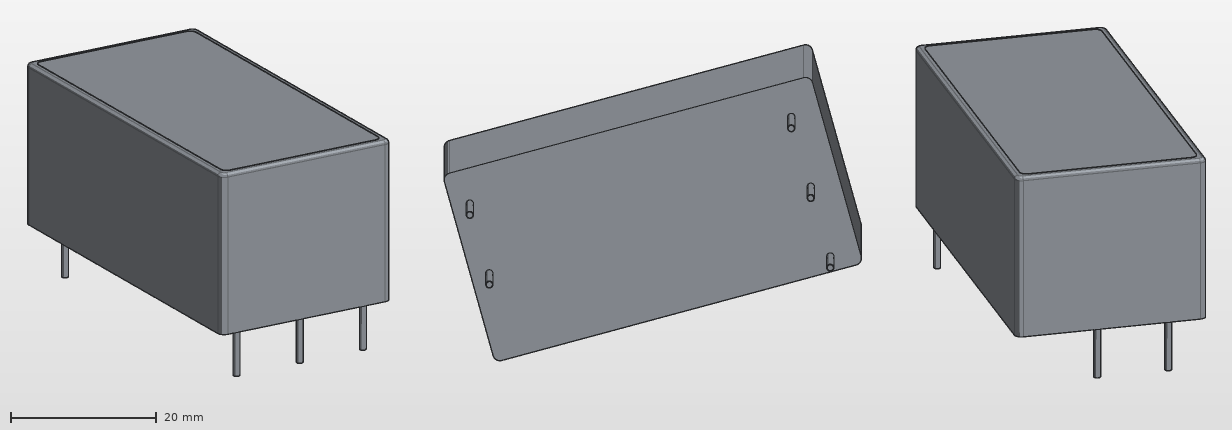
import cadquery as cq

LENGTH = 52.4
WIDTH = 27.2
TOTAL_HEIGHT = 31.6
PIN_LENGTH = 8.0
PANEL_RISE = 0.08
HOUSING_HEIGHT = TOTAL_HEIGHT - PIN_LENGTH - PANEL_RISE
CORNER_RADIUS = 1.0
TOP_EDGE_RADIUS = 0.5

PANEL_INSET = 1.0
PANEL_THICKNESS = 1.0
PANEL_CORNER_RADIUS = 1.0
PANEL_LENGTH = LENGTH - 2 * PANEL_INSET
PANEL_WIDTH = WIDTH - 2 * PANEL_INSET

PIN_DIAMETER = 1.0
PIN_TIP_CHAMFER = 0.08
PIN_PITCH = 10.1
FRONT_PIN_Y = -8.75
LEFT_PIN_X = -23.65
RIGHT_PIN_X = 22.1
PIN_ROWS = [(LEFT_PIN_X, 2), (RIGHT_PIN_X, 3)]


def make_panel():
    """Rounded rectangular plate whose upper face rises PANEL_RISE above the housing top."""
    return (
        cq.Workplane("XY", origin=(0, 0, HOUSING_HEIGHT + PANEL_RISE - PANEL_THICKNESS))
        .rect(PANEL_LENGTH, PANEL_WIDTH)
        .extrude(PANEL_THICKNESS)
        .edges("|Z")
        .fillet(PANEL_CORNER_RADIUS)
    )


def make_housing(panel):
    """Block with rounded corners and top edge, recessed to receive the panel."""
    block = (
        cq.Workplane("XY")
        .rect(LENGTH, WIDTH)
        .extrude(HOUSING_HEIGHT)
        .edges("|Z")
        .fillet(CORNER_RADIUS)
        .faces(">Z")
        .edges()
        .fillet(TOP_EDGE_RADIUS)
    )
    return block.cut(panel)


def make_pin(x, y):
    """Round pin hanging from the underside, with a chamfered tip."""
    return (
        cq.Workplane("XY", origin=(x, y, 0))
        .circle(PIN_DIAMETER / 2)
        .extrude(-PIN_LENGTH)
        .faces("<Z")
        .chamfer(PIN_TIP_CHAMFER)
    )


panel = make_panel()
housing = make_housing(panel)

pins = []
for row_x, pin_count in PIN_ROWS:
    for index in range(pin_count):
        pins.append(make_pin(row_x, FRONT_PIN_Y + index * PIN_PITCH))

result = cq.Compound.makeCompound([housing.val(), panel.val(), *[pin.val() for pin in pins]])